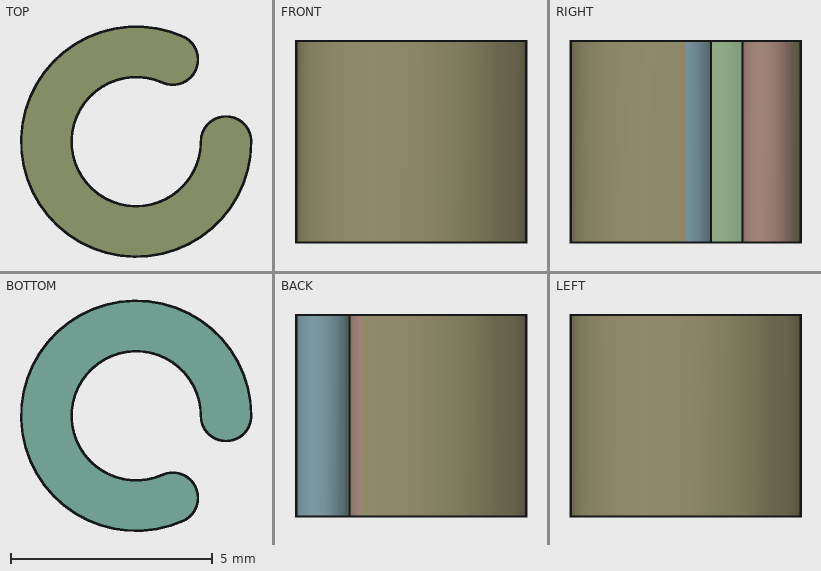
import cadquery as cq
import math

OUTER_DIAMETER = 5.71
INNER_DIAMETER = 3.2
HEIGHT = 5.0
OPENING_ANGLE = 66.0

outer_radius = OUTER_DIAMETER / 2
inner_radius = INNER_DIAMETER / 2
end_radius = (outer_radius - inner_radius) / 2
middle_radius = (outer_radius + inner_radius) / 2


def polar(radius, degrees):
    """Point at the given radius and angle about the ring axis."""
    angle = math.radians(degrees)
    return (radius * math.cos(angle), radius * math.sin(angle))


def end_tip(degrees, side):
    """Tip of a rounded end; side is +1 or -1 for the turning direction it points in."""
    x, y = polar(middle_radius, degrees)
    dx, dy = polar(end_radius, degrees + side * 90)
    return (x + dx, y + dy)


far_side_angle = OPENING_ANGLE / 2 + 180
outline = (
    cq.Workplane("XY")
    .moveTo(*polar(outer_radius, OPENING_ANGLE))
    .threePointArc(polar(outer_radius, far_side_angle), polar(outer_radius, 0))
    .threePointArc(end_tip(0, 1), polar(inner_radius, 0))
    .threePointArc(polar(inner_radius, far_side_angle), polar(inner_radius, OPENING_ANGLE))
    .threePointArc(end_tip(OPENING_ANGLE, -1), polar(outer_radius, OPENING_ANGLE))
    .close()
)

result = outline.extrude(HEIGHT)